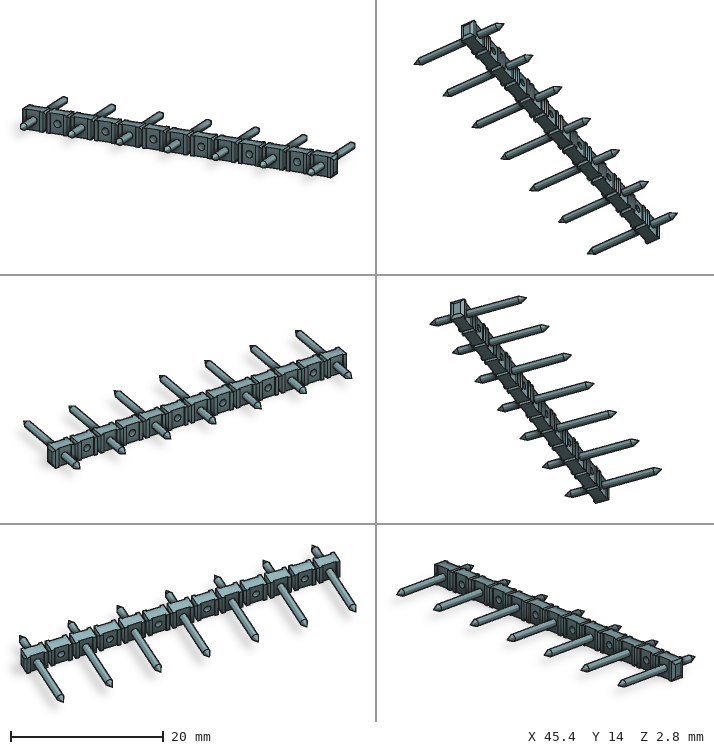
import cadquery as cq

block_count = 13
pitch = 3.5
block_length = 3.4
block_depth = 2.0
block_height = 2.8

taper_length = 0.2
taper_inset = 0.5
end_depth = block_depth - 2 * taper_inset
end_height = block_height - 2 * taper_inset

recess_width = 2.0
recess_depth = 0.2

pin_diameter = 1.0
pin_front = -4.7
pin_length = 14.0
pin_tip_length = 1.0
pin_spacing = 2


def make_tapered_end(direction):
    """Frustum closing a block on its -X (-1) or +X (+1) side."""
    base_x = direction * (block_length / 2 - taper_length)
    return (
        cq.Workplane("YZ", origin=(base_x, 0, 0))
        .rect(block_depth, block_height)
        .workplane(offset=direction * taper_length)
        .rect(end_depth, end_height)
        .loft(ruled=True)
    )


def make_recess(direction):
    """Cutter for the recess in the front (-1) or back (+1) face."""
    center_y = direction * (block_depth - recess_depth) / 2
    recess = cq.Workplane("XY").box(recess_width, recess_depth, block_height)
    return recess.translate((0, center_y, 0))


def make_block():
    block = cq.Workplane("XY").box(block_length - 2 * taper_length, block_depth, block_height)
    block = block.union(make_tapered_end(-1)).union(make_tapered_end(1))
    return block.cut(make_recess(-1)).cut(make_recess(1))


def make_hole():
    return cq.Workplane("XZ").circle(pin_diameter / 2).extrude(block_depth / 2, both=True)


def make_link():
    return cq.Workplane("XY").box(pitch - block_length, end_depth, end_height)


def make_pin():
    """Round pin with a conical point at each end."""
    radius = pin_diameter / 2
    pin_back = pin_front + pin_length
    return (
        cq.Workplane("XY")
        .moveTo(0, pin_front)
        .lineTo(radius, pin_front + pin_tip_length)
        .lineTo(radius, pin_back - pin_tip_length)
        .lineTo(0, pin_back)
        .close()
        .revolve(360, (0, 0, 0), (0, 1, 0))
    )


solid_block = make_block()
pinned_block = solid_block.union(make_pin())
open_block = solid_block.cut(make_hole())
link = make_link()

first_x = -(block_count - 1) * pitch / 2
result = pinned_block.translate((first_x, 0, 0))
for index in range(1, block_count):
    block_x = first_x + index * pitch
    block = pinned_block if index % pin_spacing == 0 else open_block
    result = result.union(link.translate((block_x - pitch / 2, 0, 0)))
    result = result.union(block.translate((block_x, 0, 0)))